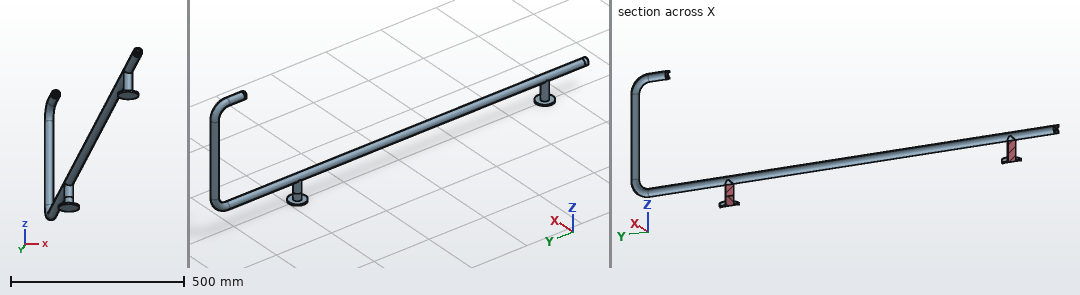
import cadquery as cq

OVERALL_LENGTH = 1363.0
OVERALL_HEIGHT = 440.0
TUBE_DIAMETER = 26.0
TUBE_WALL = 1.5
BEND_RADIUS = 45.0
TOP_REACH = 121.0
RAIL_AXIS_HEIGHT = 78.0
POST_DIAMETER = 26.0
FLANGE_DIAMETER = 60.0
FLANGE_THICKNESS = 5.0
FRONT_POST_Y = 150.0
POST_SPACING = 900.0
FOOT_HEIGHT = 30.0
PLUG_LENGTH = 12.0
CAP_LENGTH = 8.0
CAP_CHAMFER_LENGTH = 4.0
CAP_CHAMFER_DEPTH = 1.0
SOCKET_DIAMETER = 8.0
SOCKET_DEPTH = 5.0
SOCKET_RIM_DIAMETER = 16.0
SOCKET_RIM_ANGLE = 90

TUBE_RADIUS = TUBE_DIAMETER / 2
BORE_RADIUS = TUBE_RADIUS - TUBE_WALL
UPRIGHT_Y = OVERALL_LENGTH - TUBE_RADIUS
TOP_AXIS_HEIGHT = OVERALL_HEIGHT - TUBE_RADIUS
CAP_END_Y = OVERALL_LENGTH - TOP_REACH
CAP_JOINT_Y = CAP_END_Y + CAP_LENGTH
REAR_POST_Y = FRONT_POST_Y + POST_SPACING


def bar_along_y(radius, y_start, y_end, height):
    """Round bar parallel to Y at the given axis height."""
    return cq.Workplane("XZ", origin=(0, y_start, height)).circle(radius).extrude(y_start - y_end)


def bar_along_z(diameter, y, z_start, z_end):
    """Round vertical bar standing at the given Y."""
    return cq.Workplane("XY", origin=(0, y, z_start)).circle(diameter / 2).extrude(z_end - z_start)


def bent_bar(radius):
    """Round bar along the rail axis: long run, bend up, upright, bend back, short top run."""
    axis = (
        cq.Workplane("YZ")
        .moveTo(0, RAIL_AXIS_HEIGHT)
        .lineTo(UPRIGHT_Y - BEND_RADIUS, RAIL_AXIS_HEIGHT)
        .radiusArc((UPRIGHT_Y, RAIL_AXIS_HEIGHT + BEND_RADIUS), -BEND_RADIUS)
        .lineTo(UPRIGHT_Y, TOP_AXIS_HEIGHT - BEND_RADIUS)
        .radiusArc((UPRIGHT_Y - BEND_RADIUS, TOP_AXIS_HEIGHT), -BEND_RADIUS)
        .lineTo(CAP_JOINT_Y, TOP_AXIS_HEIGHT)
    )
    return cq.Workplane("XZ", origin=(0, 0, RAIL_AXIS_HEIGHT)).circle(radius).sweep(axis)


def flange(y):
    """Round floor flange under a post."""
    return bar_along_z(FLANGE_DIAMETER, y, 0, FLANGE_THICKNESS)


def with_socket(end_piece):
    """End piece with a countersunk blind hole in the middle of its -Y face."""
    face = end_piece.faces("<Y").workplane(centerOption="CenterOfMass")
    return face.cskHole(SOCKET_DIAMETER, SOCKET_RIM_DIAMETER, SOCKET_RIM_ANGLE, SOCKET_DEPTH)


def make_rail():
    """Bent tube with the whole front post and its flange, and the upper part of the rear post."""
    front_post = bar_along_z(POST_DIAMETER, FRONT_POST_Y, 0, RAIL_AXIS_HEIGHT)
    rear_post = bar_along_z(POST_DIAMETER, REAR_POST_Y, FOOT_HEIGHT, RAIL_AXIS_HEIGHT)
    solid_rail = bent_bar(TUBE_RADIUS).union(front_post).union(rear_post).union(flange(FRONT_POST_Y))
    return solid_rail.cut(bent_bar(BORE_RADIUS))


def make_rear_foot():
    """Flange and lower post stub that carry the rear post."""
    return flange(REAR_POST_Y).union(bar_along_z(POST_DIAMETER, REAR_POST_Y, 0, FOOT_HEIGHT))


def make_plug():
    """Plug that fills the bore at the low end of the rail, flush with the tube, with a socket in its face."""
    return with_socket(bar_along_y(BORE_RADIUS, 0, PLUG_LENGTH, RAIL_AXIS_HEIGHT))


def make_end_cap():
    """Cap on the end of the top run, as wide as the tube, with a chamfered rim and a socket."""
    cap = bar_along_y(TUBE_RADIUS, CAP_END_Y, CAP_JOINT_Y, TOP_AXIS_HEIGHT)
    rim = cap.faces("<Y").edges()
    return with_socket(rim.chamfer(CAP_CHAMFER_LENGTH, CAP_CHAMFER_DEPTH))


rail = make_rail()
rear_foot = make_rear_foot()
plug = make_plug()
end_cap = make_end_cap()

result = cq.Compound.makeCompound(
    [rail.solids().val(), rear_foot.solids().val(), plug.solids().val(), end_cap.solids().val()]
)